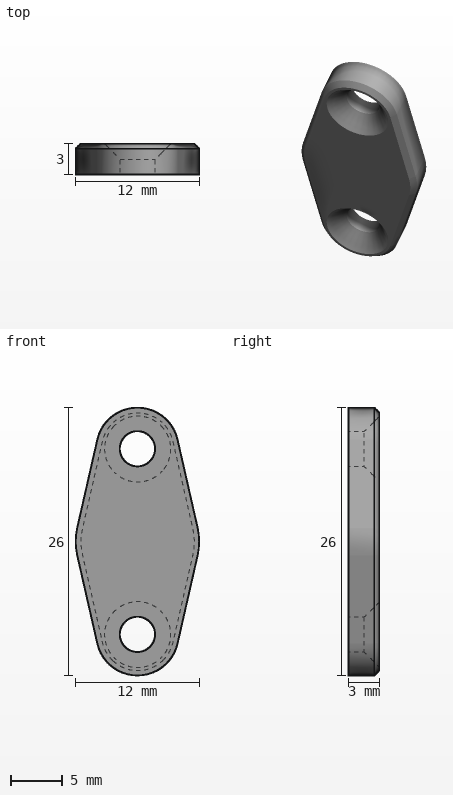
import cadquery as cq
import math

thickness = 3.0
hole_spacing = 18.0
end_radius = 4.0
waist_radius = 6.0
hole_diameter = 3.4
countersink_depth = 1.5
edge_chamfer = 0.5

end_center = hole_spacing / 2
flank_angle = math.asin((waist_radius - end_radius) / end_center)
waist_x = waist_radius * math.cos(flank_angle)
waist_z = waist_radius * math.sin(flank_angle)
end_x = end_radius * math.cos(flank_angle)
end_z = end_center + end_radius * math.sin(flank_angle)
tip_z = end_center + end_radius

hole_radius = hole_diameter / 2
countersink_radius = hole_radius + countersink_depth


def make_plate():
    """Plate lying in XZ, from Y = 0 (plain face) to Y = thickness (chamfered face)."""
    return (
        cq.Workplane("XZ")
        .moveTo(waist_x, waist_z)
        .lineTo(end_x, end_z)
        .threePointArc((0, tip_z), (-end_x, end_z))
        .lineTo(-waist_x, waist_z)
        .threePointArc((-waist_radius, 0), (-waist_x, -waist_z))
        .lineTo(-end_x, -end_z)
        .threePointArc((0, -tip_z), (end_x, -end_z))
        .lineTo(waist_x, -waist_z)
        .threePointArc((waist_radius, 0), (waist_x, waist_z))
        .close()
        .extrude(-thickness)
    )


def make_countersunk_hole(center_z):
    """Through hole along Y whose 90 degree countersink opens on the chamfered face."""
    profile = (
        cq.Workplane("XY")
        .lineTo(hole_radius, 0)
        .lineTo(hole_radius, thickness - countersink_depth)
        .lineTo(countersink_radius, thickness)
        .lineTo(0, thickness)
        .close()
    )
    hole = profile.revolve(360, (0, 0, 0), (0, 1, 0))
    return hole.translate((0, 0, center_z))


result = make_plate().faces(">Y").edges().chamfer(edge_chamfer)
for center_z in (-end_center, end_center):
    result = result.cut(make_countersunk_hole(center_z))